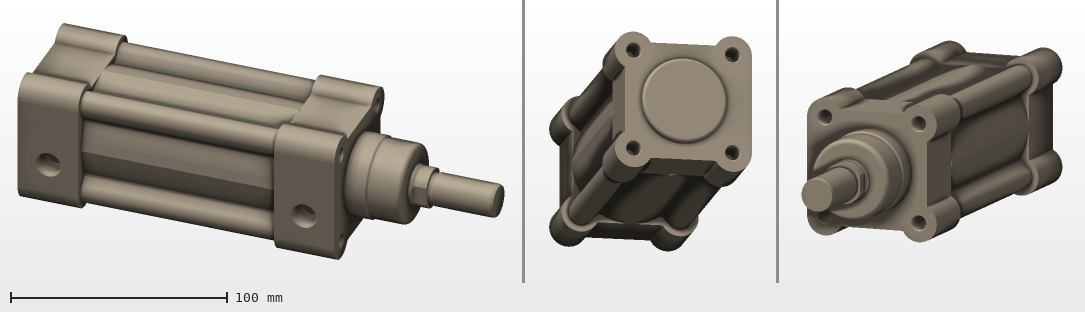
import cadquery as cq
import math


rear_cap_start = 4.0
cap_length = 29.8
barrel_length = 97.0
barrel_start = rear_cap_start + cap_length
front_cap_start = barrel_start + barrel_length
front_cap_end = front_cap_start + cap_length
rod_start = 188.2
rod_end = 229.2

cap_width = 64.5
corner_lobe_radius = 9.0
corner_offset = cap_width / 2 - corner_lobe_radius
port_face_y = -cap_width / 2
cap_core_width = 54.8
port_diameter = 11.2
port_depth = 11.5
port_inset = 14.7
port_z = -8.0
port_chamfer = 0.7
screw_hole_diameter = 6.6
screw_hole_depth = 16.0
screw_hole_chamfer = 0.5

boss_radius = 20.0
rear_boss_round = 1.5
shoulder_end = 170.8
shoulder_taper = 1.0
collar_radius = 19.3
collar_round = 2.3

barrel_radius = 27.3
barrel_lobe_radius = 6.0
neck_fillet = 1.8
ridge_half_angle = math.radians(11)

rod_radius = 10.0
rod_collar_end = 189.5
rod_bevel_end = 190.5
wrench_radius = 9.6
wrench_half_width = 8.5
wrench_end = 196.9
neck_radius = 7.5
neck_end = 198.3
thread_radius = 8.0
thread_start = 199.6
thread_chamfer = 1.4
thread_tip_radius = 7.5

corner_points = [(y, z) for y in (-corner_offset, corner_offset) for z in (-corner_offset, corner_offset)]


def section_at(x):
    """Workplane across the cylinder at x: local axes are Y and Z, extrusion runs toward +X."""
    return cq.Workplane("YZ", origin=(x, 0, 0))


def hole_cutter(diameter, depth, chamfer, mouth, direction):
    """Blind hole with a chamfered mouth, running from the mouth along the direction."""
    radius = diameter / 2
    axis = cq.Vector(*direction)
    bore = cq.Solid.makeCylinder(radius, depth, cq.Vector(*mouth), axis)
    bevel = cq.Solid.makeCone(radius + chamfer, radius, chamfer, cq.Vector(*mouth), axis)
    return bore.fuse(bevel)


def make_cap_block(start, port_x, screw_face, screw_direction):
    """Square block with four round corners, a flush port face on -Y and four screw holes."""
    block = section_at(start).rect(cap_core_width, cap_core_width).extrude(cap_length)
    port_pad = (
        section_at(start)
        .center(port_face_y / 2, 0)
        .rect(-port_face_y, 2 * corner_offset)
        .extrude(cap_length)
    )
    lobes = section_at(start).pushPoints(corner_points).circle(corner_lobe_radius).extrude(cap_length)
    block = block.union(port_pad).union(lobes)

    port_mouth = (port_x, port_face_y, port_z)
    block = block.cut(hole_cutter(port_diameter, port_depth, port_chamfer, port_mouth, (0, 1, 0)))
    for y, z in corner_points:
        screw_hole = hole_cutter(
            screw_hole_diameter,
            screw_hole_depth,
            screw_hole_chamfer,
            (screw_face, y, z),
            (screw_direction, 0, 0),
        )
        block = block.cut(screw_hole)
    return block


def make_rear_cap():
    """Rear cap with a rounded centring boss."""
    boss = section_at(0).circle(boss_radius).extrude(rear_cap_start)
    boss = boss.faces("<X").edges().fillet(rear_boss_round)
    block = make_cap_block(rear_cap_start, barrel_start - port_inset, rear_cap_start, 1)
    return block.union(boss)


def make_front_cap():
    """Front cap with a centring shoulder that steps down to the rod collar."""
    collar = section_at(front_cap_end).circle(collar_radius).extrude(rod_start - front_cap_end)
    collar = collar.faces(">X").edges().fillet(collar_round)
    shoulder = (
        cq.Workplane("XY")
        .moveTo(front_cap_end, 0)
        .lineTo(front_cap_end, boss_radius)
        .lineTo(shoulder_end, boss_radius)
        .lineTo(shoulder_end + shoulder_taper, collar_radius)
        .lineTo(shoulder_end + shoulder_taper, 0)
        .close()
        .revolve(360, (0, 0, 0), (1, 0, 0))
    )
    block = make_cap_block(front_cap_start, front_cap_start + port_inset, front_cap_end, -1)
    return block.union(shoulder).union(collar)


def make_barrel():
    """Round barrel with a ridge on each side and a round-ended lobe on each diagonal."""
    tangent_y = barrel_radius * math.cos(ridge_half_angle)
    tangent_z = barrel_radius * math.sin(ridge_half_angle)
    ridge_tip = barrel_radius / math.cos(ridge_half_angle)
    lobe_reach = math.hypot(corner_offset, corner_offset)

    barrel = section_at(barrel_start).circle(barrel_radius).extrude(barrel_length)
    for quarter in range(4):
        ridge = (
            section_at(barrel_start)
            .polyline([(0, 0), (tangent_y, -tangent_z), (ridge_tip, 0), (tangent_y, tangent_z)])
            .close()
            .extrude(barrel_length)
        )
        barrel = barrel.union(ridge.rotate((0, 0, 0), (1, 0, 0), 90 * quarter))

    fillet_side_offset = barrel_lobe_radius + neck_fillet
    fillet_reach = math.sqrt((barrel_radius + neck_fillet) ** 2 - fillet_side_offset**2)
    to_barrel = barrel_radius / (barrel_radius + neck_fillet)
    foot = (fillet_reach * to_barrel, fillet_side_offset * to_barrel)
    sweep_start = math.atan2(-fillet_side_offset, -fillet_reach)
    sweep_middle = (sweep_start - math.pi / 2) / 2
    fillet_middle = (
        fillet_reach + neck_fillet * math.cos(sweep_middle),
        fillet_side_offset + neck_fillet * math.sin(sweep_middle),
    )
    lobe = (
        section_at(barrel_start)
        .lineTo(*foot)
        .threePointArc(fillet_middle, (fillet_reach, barrel_lobe_radius))
        .lineTo(lobe_reach, barrel_lobe_radius)
        .threePointArc((lobe_reach + barrel_lobe_radius, 0), (lobe_reach, -barrel_lobe_radius))
        .lineTo(fillet_reach, -barrel_lobe_radius)
        .threePointArc((fillet_middle[0], -fillet_middle[1]), (foot[0], -foot[1]))
        .close()
        .extrude(barrel_length)
    )
    for quarter in range(4):
        barrel = barrel.union(lobe.rotate((0, 0, 0), (1, 0, 0), 45 + 90 * quarter))
    return barrel


def make_rod():
    """Stepped rod end: collar, wrench flats facing -Y and +Y, relief neck and thread."""
    rod = (
        cq.Workplane("XY")
        .moveTo(rod_start, 0)
        .lineTo(rod_start, rod_radius)
        .lineTo(rod_collar_end, rod_radius)
        .lineTo(rod_bevel_end, wrench_radius)
        .lineTo(wrench_end, wrench_radius)
        .lineTo(wrench_end, neck_radius)
        .lineTo(neck_end, neck_radius)
        .lineTo(thread_start, thread_radius)
        .lineTo(rod_end - thread_chamfer, thread_radius)
        .lineTo(rod_end, thread_tip_radius)
        .lineTo(rod_end, 0)
        .close()
        .revolve(360, (0, 0, 0), (1, 0, 0))
    )
    for side in (-1, 1):
        flat_cut = (
            cq.Workplane("XY")
            .polyline(
                [
                    (rod_bevel_end, side * wrench_half_width),
                    (wrench_end, side * wrench_half_width),
                    (wrench_end, side * rod_radius),
                    (rod_collar_end, side * rod_radius),
                ]
            )
            .close()
            .extrude(rod_radius, both=True)
        )
        rod = rod.cut(flat_cut)
    return rod


rear_cap = make_rear_cap()
barrel = make_barrel()
front_cap = make_front_cap()
rod = make_rod()

result = cq.Compound.makeCompound([rear_cap.val(), barrel.val(), front_cap.val(), rod.val()])